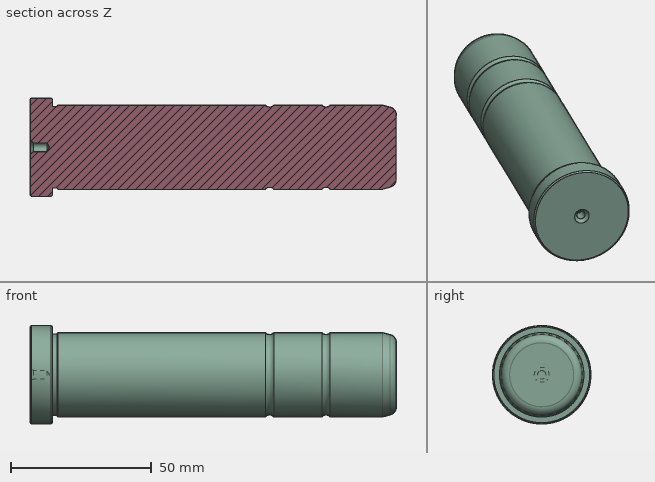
import cadquery as cq
import math

total_length = 130.0
shaft_diameter = 30.0
shaft_radius = shaft_diameter / 2

head_diameter = 35.0
head_length = 8.0
head_edge_chamfer = 0.5

undercut_depth = 0.5
undercut_end = 10.0
undercut_ramp_length = 0.5

groove_centers = (85.0, 105.0)
groove_width = 3.0
groove_depth = 0.7

lead_in_start = 125.0
lead_in_angle = 15.0
tip_round_radius = 3.0

center_hole_diameter = 3.0
center_hole_depth = 6.0
countersink_diameter = 5.3
countersink_angle = 90.0
drill_point_angle = 120.0


def revolve_about_axis(profile):
    """Full turn of a closed half-section about the X axis."""
    return profile.revolve(360, (0, 0, 0), (1, 0, 0))


def make_head():
    head = cq.Workplane("YZ").circle(head_diameter / 2).extrude(head_length)
    return head.edges().chamfer(head_edge_chamfer)


def make_shaft():
    """Undercut, plain shaft and rounded lead-in; it starts inside the head."""
    undercut_radius = shaft_radius - undercut_depth
    lead_in_drop = (total_length - lead_in_start) * math.tan(math.radians(lead_in_angle))
    profile = (
        cq.Workplane("XY")
        .moveTo(0, 0)
        .lineTo(0, undercut_radius)
        .lineTo(undercut_end - undercut_ramp_length, undercut_radius)
        .lineTo(undercut_end, shaft_radius)
        .lineTo(lead_in_start, shaft_radius)
        .lineTo(total_length, shaft_radius - lead_in_drop)
        .lineTo(total_length, 0)
        .close()
    )
    shaft = revolve_about_axis(profile)
    return shaft.faces(">X").edges().fillet(tip_round_radius)


def make_groove(center):
    """Ring of material to remove, bounded inside by an arc."""
    profile = (
        cq.Workplane("XY")
        .moveTo(center - groove_width / 2, shaft_radius)
        .threePointArc(
            (center, shaft_radius - groove_depth),
            (center + groove_width / 2, shaft_radius),
        )
        .close()
    )
    return revolve_about_axis(profile)


def make_center_hole():
    """Countersunk blind hole with a conical drill point."""
    hole_radius = center_hole_diameter / 2
    mouth_radius = countersink_diameter / 2
    countersink_depth = (mouth_radius - hole_radius) / math.tan(math.radians(countersink_angle / 2))
    point_length = hole_radius / math.tan(math.radians(drill_point_angle / 2))
    profile = (
        cq.Workplane("XY")
        .moveTo(0, 0)
        .lineTo(0, mouth_radius)
        .lineTo(countersink_depth, hole_radius)
        .lineTo(center_hole_depth, hole_radius)
        .lineTo(center_hole_depth + point_length, 0)
        .close()
    )
    return revolve_about_axis(profile)


result = make_shaft().union(make_head())
for groove_center in groove_centers:
    result = result.cut(make_groove(groove_center))
result = result.cut(make_center_hole())